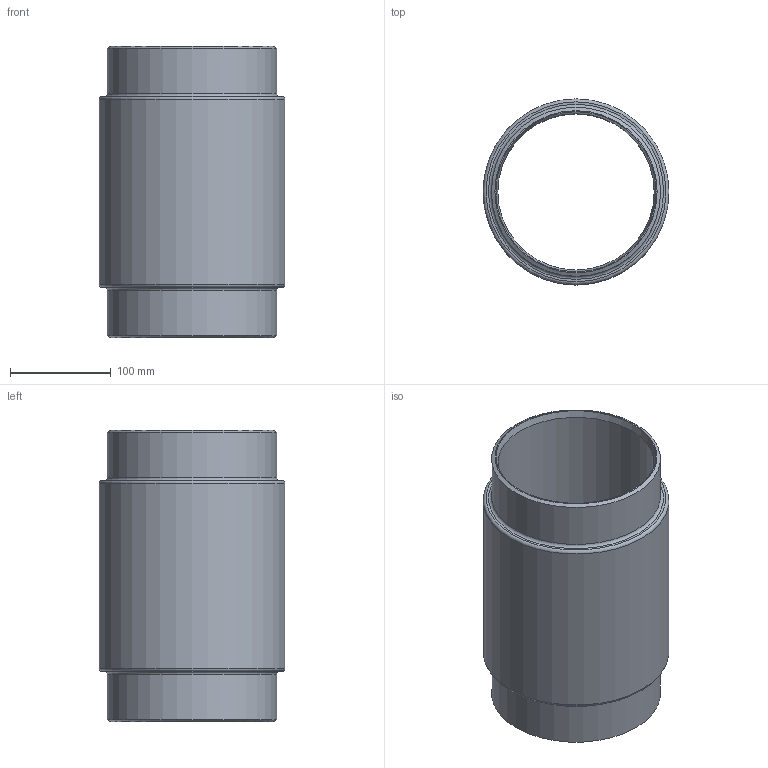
import math

import cadquery as cq

total_length = 290.0
spigot_length = 50.0
body_diameter = 185.0
spigot_diameter = 168.3
spigot_wall = 6.3

shoulder_radius = 3.0
bevel_depth = 2.0
bevel_angle = 30.0
rim_width = 1.0
lead_in_angle = 15.0

half_length = total_length / 2
shoulder_height = half_length - spigot_length
body_radius = body_diameter / 2
spigot_radius = spigot_diameter / 2
bore_radius = spigot_radius - spigot_wall
rim_outer_radius = spigot_radius - bevel_depth / math.tan(math.radians(bevel_angle))
rim_inner_radius = rim_outer_radius - rim_width
lead_in_depth = (rim_inner_radius - bore_radius) / math.tan(math.radians(lead_in_angle))


def revolve_about_z(profile):
    """Turn a closed XZ profile into a solid of revolution about the Z axis."""
    return profile.revolve(360, (0, 0, 0), (0, 1, 0))


def make_outer_shell():
    """Body with a narrower bevelled spigot at each end and rounded shoulders."""
    profile = (
        cq.Workplane("XZ")
        .moveTo(0, -half_length)
        .lineTo(rim_outer_radius, -half_length)
        .lineTo(spigot_radius, -half_length + bevel_depth)
        .lineTo(spigot_radius, -shoulder_height - shoulder_radius)
        .radiusArc((spigot_radius + shoulder_radius, -shoulder_height), shoulder_radius)
        .lineTo(body_radius - shoulder_radius, -shoulder_height)
        .radiusArc((body_radius, -shoulder_height + shoulder_radius), -shoulder_radius)
        .lineTo(body_radius, shoulder_height - shoulder_radius)
        .radiusArc((body_radius - shoulder_radius, shoulder_height), -shoulder_radius)
        .lineTo(spigot_radius + shoulder_radius, shoulder_height)
        .radiusArc((spigot_radius, shoulder_height + shoulder_radius), shoulder_radius)
        .lineTo(spigot_radius, half_length - bevel_depth)
        .lineTo(rim_outer_radius, half_length)
        .lineTo(0, half_length)
        .close()
    )
    return revolve_about_z(profile)


def make_bore():
    """Cutter for the straight bore with a conical lead-in at both ends."""
    lead_in_start = half_length - lead_in_depth
    profile = (
        cq.Workplane("XZ")
        .moveTo(0, -half_length)
        .lineTo(rim_inner_radius, -half_length)
        .lineTo(bore_radius, -lead_in_start)
        .lineTo(bore_radius, lead_in_start)
        .lineTo(rim_inner_radius, half_length)
        .lineTo(0, half_length)
        .close()
    )
    return revolve_about_z(profile)


result = make_outer_shell().cut(make_bore())